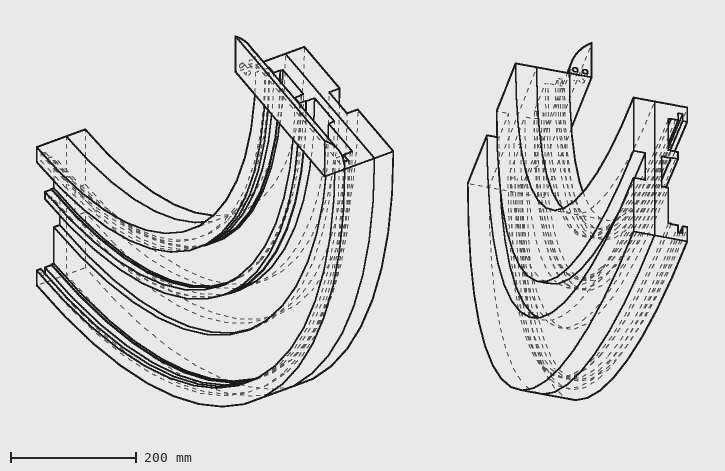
import cadquery as cq
import math

total_height = 1080
centerline_radius = 860.0
band_width = 290.0
outer_radius = centerline_radius + band_width / 2
inner_radius = centerline_radius - band_width / 2

track_depth = 89.0
rear_thickness = 35.0
front_thickness = track_depth - rear_thickness

lip_width = 31.0
side_slot_edge = 16.0
side_slot_front = 8.0
rib_front = 15.0
ledge_front = 27.0
ledge_width = 1.0
pocket_floor = 31.0
deep_floor = 42.0
rib_start = 100.0
rib_end = 116.0
deep_end = 181.0

rear_groove_start = 116.0
rear_groove_end = 174.0
rear_groove_depth = 19.0

cap_depth = 37.0
cap_hole_diameter = 9.0
cap_hole_depth = 22.0
cap_hole_setbacks = [10.0, 26.0]
cap_hole_height = 10.0
cap_height = total_height - outer_radius


def bend(offset_start, offset_end, y_front, y_back):
    """Quarter ring between two offsets from the inner edge and two Y planes."""
    r_small = inner_radius + offset_start
    r_large = inner_radius + offset_end
    diagonal = math.sqrt(0.5)
    return (
        cq.Workplane("XZ", origin=(0, y_back, outer_radius))
        .moveTo(0, -r_small)
        .threePointArc((r_small * diagonal, -r_small * diagonal), (r_small, 0))
        .lineTo(r_large, 0)
        .threePointArc((r_large * diagonal, -r_large * diagonal), (0, -r_large))
        .close()
        .extrude(y_back - y_front)
    )


def make_front_track():
    body = bend(0, band_width, 0, front_thickness)
    channels = [
        (lip_width, band_width - lip_width, 0, rib_front),
        (side_slot_edge, band_width - side_slot_edge, side_slot_front, rib_front),
        (rib_end + ledge_width, deep_end, pocket_floor, deep_floor),
    ]
    for start, end in [(lip_width, rib_start), (rib_end, band_width - lip_width)]:
        channels.append((start, end, rib_front, ledge_front))
        channels.append((start + ledge_width, end - ledge_width, ledge_front, pocket_floor))
    for channel in channels:
        body = body.cut(bend(*channel))
    return body


def make_rear_track():
    groove = bend(rear_groove_start, rear_groove_end, track_depth - rear_groove_depth, track_depth)
    return bend(0, band_width, front_thickness, track_depth).cut(groove)


def make_end_cap():
    arc_radius = (cap_height**2 + cap_depth**2) / (2 * cap_depth)
    half_angle = math.asin(cap_height / arc_radius) / 2
    mid_y = -arc_radius * (1 - math.cos(half_angle))
    mid_z = outer_radius + arc_radius * math.sin(half_angle)
    cap = (
        cq.Workplane("YZ", origin=(inner_radius, 0, 0))
        .moveTo(-cap_depth, outer_radius)
        .lineTo(0, outer_radius)
        .threePointArc((mid_y, mid_z), (-cap_depth, outer_radius + cap_height))
        .close()
        .extrude(band_width)
    )
    holes = (
        cq.Workplane("YZ", origin=(inner_radius, 0, outer_radius + cap_hole_height))
        .pushPoints([(-setback, 0) for setback in cap_hole_setbacks])
        .circle(cap_hole_diameter / 2)
        .extrude(cap_hole_depth)
    )
    return cap.cut(holes)


front_track = make_front_track()
rear_track = make_rear_track()
end_cap = make_end_cap()

result = cq.Compound.makeCompound([front_track.val(), rear_track.val(), end_cap.val()])